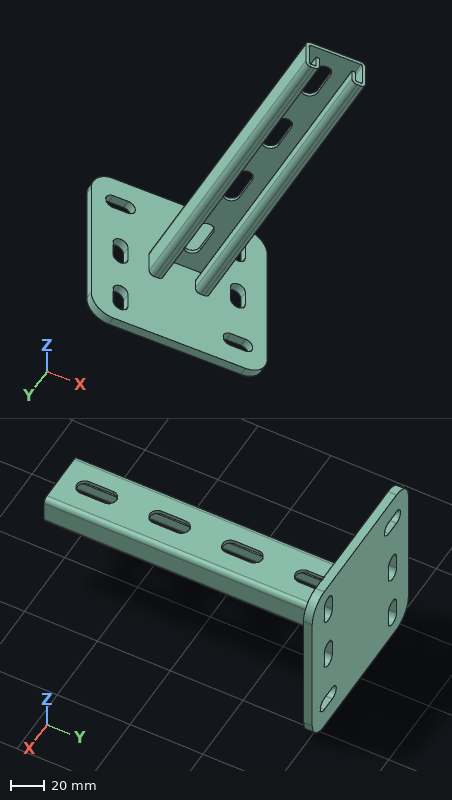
import cadquery as cq

plate_size = 120.0
plate_thickness = 6.0
plate_corner_radius = 15.0
plate_slot_length = 20.0
plate_slot_width = 10.0
plate_slot_offset = 40.0

arm_length = 200.0
arm_width = 41.0
arm_height = 21.0
arm_center_z = -0.5
sheet_thickness = 2.5
bend_radius = 3.5
lip_width = 9.5
lip_height = 10.0

arm_slot_length = 27.0
arm_slot_width = 10.5
arm_slot_pitch = 50.0
arm_slot_count = 4

VERTICAL = 90.0
HORIZONTAL = 0.0


def make_plate():
    """Rounded square plate with its front face on Y = 0 and its back towards +Y."""
    plate = (
        cq.Workplane("XZ")
        .rect(plate_size, plate_size)
        .extrude(-plate_thickness)
        .edges("|Y")
        .fillet(plate_corner_radius)
    )
    near, far = -plate_slot_offset, plate_slot_offset
    slots = [
        (near, far, HORIZONTAL),
        (near, 0, VERTICAL),
        (near, near, VERTICAL),
        (far, far, VERTICAL),
        (far, 0, VERTICAL),
        (far, near, HORIZONTAL),
    ]
    for x, z, angle in slots:
        cutter = (
            cq.Workplane("XZ")
            .center(x, z)
            .slot2D(plate_slot_length, plate_slot_width, angle)
            .extrude(-plate_thickness)
        )
        plate = plate.cut(cutter)
    return plate


def fillet_long_edges(body, corners, radius):
    """Round the lengthwise edges that pass through the given (x, z) corners, on both sides."""
    mid_y = -arm_length / 2
    for x, z in corners:
        for side in (-1, 1):
            edge = cq.selectors.NearestToPointSelector((side * x, mid_y, z))
            body = body.edges("|Y").edges(edge).fillet(radius)
    return body


def make_profile():
    """C-channel: top web, two side walls, and bottom flanges ending in upturned lips."""
    outer_x = arm_width / 2
    inner_x = outer_x - sheet_thickness
    lip_inner_x = outer_x - lip_width
    lip_outer_x = lip_inner_x + sheet_thickness

    top = arm_center_z + arm_height / 2
    web_bottom = top - sheet_thickness
    bottom = top - arm_height
    flange_top = bottom + sheet_thickness
    lip_top = bottom + lip_height

    outer_bends = [(outer_x, top), (outer_x, bottom), (lip_inner_x, bottom)]
    lip_end = [(lip_inner_x, lip_top), (lip_outer_x, lip_top)]
    inner_bends = [(lip_outer_x, flange_top), (inner_x, flange_top), (inner_x, web_bottom)]

    right_half = outer_bends + lip_end + inner_bends
    left_half = [(-x, z) for x, z in reversed(right_half)]
    profile = cq.Workplane("XZ").polyline(right_half + left_half).close().extrude(arm_length)

    profile = fillet_long_edges(profile, inner_bends, bend_radius - sheet_thickness)
    return fillet_long_edges(profile, outer_bends, bend_radius)


def make_arm_slots():
    """Cutters for the row of slots through the top web, each centred in one pitch length."""
    first_y = -arm_slot_pitch / 2
    centers = [(0, first_y - i * arm_slot_pitch) for i in range(arm_slot_count)]
    return (
        cq.Workplane("XY")
        .pushPoints(centers)
        .slot2D(arm_slot_length, arm_slot_width, VERTICAL)
        .extrude(arm_height)
    )


result = make_plate().union(make_profile().cut(make_arm_slots()))